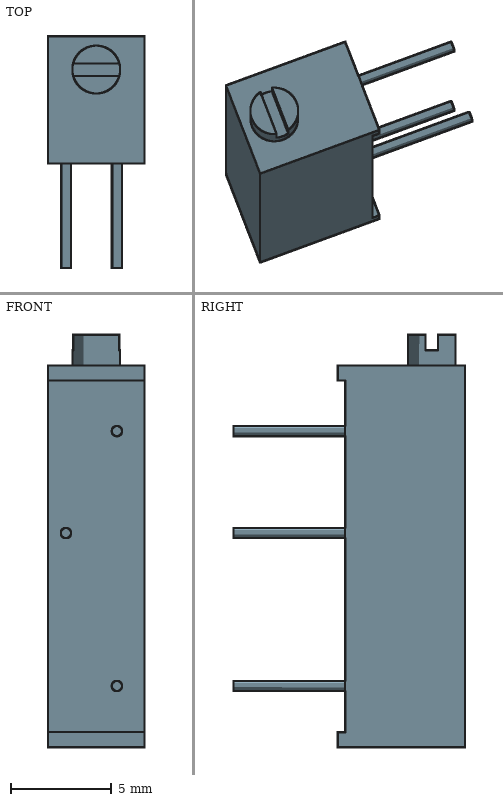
import cadquery as cq


body_width = 4.83
body_depth = 6.35
total_height = 20.57
screw_height = 1.52
body_height = total_height - screw_height
standoff_height = 0.76
standoff_depth = 0.37

screw_diameter = 2.39
screw_from_back = 1.67
slot_width = 0.62
slot_depth = 0.76

total_depth = 11.56
pin_diameter = 0.51
upper_pin_spacing = 5.08
pin_grid = upper_pin_spacing / 2
lower_pin_spacing = 3 * pin_grid
outer_pin_x = 1.03
middle_pin_x = outer_pin_x - pin_grid
bottom_pin_z = 3.06
middle_pin_z = bottom_pin_z + lower_pin_spacing
top_pin_z = middle_pin_z + upper_pin_spacing
pin_positions = [
    (outer_pin_x, bottom_pin_z),
    (middle_pin_x, middle_pin_z),
    (outer_pin_x, top_pin_z),
]

seat_y = standoff_depth - body_depth


def make_housing():
    """Box whose pin face is recessed between a standoff at each end."""
    block = cq.Workplane("XY").box(body_width, body_depth, body_height, centered=(True, False, False))
    block = block.translate((0, -body_depth, 0))
    recess_height = body_height - 2 * standoff_height
    recess = cq.Workplane("XY").box(body_width, standoff_depth, recess_height, centered=(True, False, False))
    return block.cut(recess.translate((0, -body_depth, standoff_height)))


def make_screw():
    """Round screw head with a straight driver slot along X."""
    head = cq.Workplane("XY").circle(screw_diameter / 2).extrude(screw_height)
    slot = cq.Workplane("XY").box(screw_diameter, slot_width, slot_depth, centered=(True, True, False))
    head = head.cut(slot.translate((0, 0, screw_height - slot_depth)))
    return head.translate((0, -screw_from_back, body_height))


def make_pins():
    """Three round pins standing on the recessed face."""
    pin_length = total_depth + seat_y
    return (
        cq.Workplane("XZ", origin=(0, seat_y, 0))
        .pushPoints(pin_positions)
        .circle(pin_diameter / 2)
        .extrude(pin_length)
    )


result = make_housing().union(make_screw()).union(make_pins())